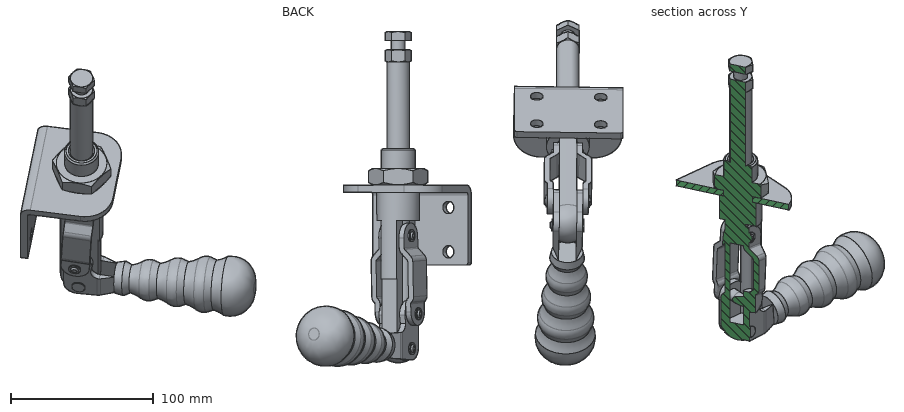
import cadquery as cq
import math

TURN = -28.7

SHEET = 5.2
BRACKET_WIDTH = 76.1
PLATE_FRONT = -37.4
FLANGE_BACK = 25.1
PLATE_BOTTOM = -56.2
BEND_RADIUS = 7.0
FLANGE_CORNER = 19.7
PLATE_CORNER = 1.9
SCREW_HOLE = 8.7
SCREW_SPACING_X = 45.0
SCREW_SPACING_Z = 31.0
SCREW_ROW_TOP = -15.7

NECK_RADIUS = 12.0
NECK_TOP = 25.5
NECK_CHAMFER = 1.2
BORE_MOUTH_RADIUS = 9.2
BARREL_RADIUS = 15.0
BALL_CENTRE = -109.8
FLATS_TOP = -25.0
FLATS_HALF = 6.0
BARREL_BACK = 12.7
BACK_RELIEF_TOP = -65.8

ROD_RADIUS = 8.0
ROD_BOTTOM = -43.5
BOLT_RADIUS = 5.0
LOCKNUT_BOTTOM = 86.3
LOCKNUT_TOP = 95.0
HEAD_BOTTOM = 101.3
HEAD_TOP = 107.6
BOLT_FLATS = 16.0
MOUNT_NUT_FLATS = 36.2
MOUNT_NUT_HEIGHT = 11.8
HEX_CHAMFER_ANGLE = 30.0

SLIDE_PIVOT = (-0.2, -35.5)
LINK_PIVOT = (-2.5, -90.2)
LEVER_PIVOT = (-0.5, -114.7)
RIVET_RADIUS = 4.2
HEAD_PROUD = 1.0
RIVET_TIP_RADIUS = 2.8
RIVET_TIP_HEIGHT = 1.2
RIVET_TIP_TAPER = 45.0
PIN_HEAD_RADIUS = 4.7

CHEEK = 4.2
CHEEK_OUTER = FLATS_HALF + CHEEK
LEVER_FRONT = -11.0
LEVER_BOTTOM = -122.7
LEVER_TOP = -81.0
LEVER_TOP_RADIUS = 10.0
LEVER_HEEL_RADIUS = 9.6
LEVER_NECK_HALF = 6.0
LEVER_NECK_TOP = -104.0
LEVER_NECK_BOTTOM = -121.3
TAPER_START = 13.9
NECK_BEND_RADIUS = 7.0
THROAT_START = (8.0, -97.0)
THROAT_MIDDLE = (9.9, -101.3)
THROAT_END = (14.0, -103.5)
LINK_THICKNESS = 4.0
LINK_WIDTH = 20.0
LINK_TOP = -26.5
LINK_BOTTOM = -98.5
LINK_MIDDLE_INNER = 12.7
LINK_BEND_ANGLE = 45.0
LINK_BEND_RADIUS = 1.2
UPPER_BEND = -51.0
LOWER_BEND = -80.1

GRIP_TILT = 4.7
GRIP_START = 25.4
GRIP_END = 123.9
GRIP_START_RADIUS = 11.0
FIRST_BEAD_Y = 31.3
FIRST_BEAD_RADIUS = 12.2
BEADS = 3
VALLEY_Y = 36.0
VALLEY_RADIUS = 9.9
BEAD_PITCH = 20.0
BEAD_GROWTH = 2.5
HOLLOW_STEP = (1.5, 4.2)
SHOULDER_STEP = (3.3, 7.8)
BULGE_STEP = (4.7, 11.5)
CREST_STEP = (4.5, 15.0)
KNOB_RADIUS = 21.2
KNOB_CORNER = 17.0


def turned(shape):
    return shape.rotate((0, 0, 0), (0, 0, 1), TURN)


def cylinder(radius, bottom, top):
    return cq.Workplane("XY").workplane(offset=bottom).circle(radius).extrude(top - bottom)


def hexagon(flats, bottom, top, chamfered):
    """Hexagonal prism with corners on the X axis; `chamfered` selects the trimmed ends."""
    corner_radius = flats / math.sqrt(3)
    end_radius = 0.49 * flats
    trim = corner_radius - end_radius
    envelope = cylinder(corner_radius, bottom, top).edges(chamfered)
    envelope = envelope.chamfer(trim * math.tan(math.radians(HEX_CHAMFER_ANGLE)), trim)
    prism = cq.Workplane("XY").workplane(offset=bottom).polygon(6, 2 * corner_radius).extrude(top - bottom)
    return prism.intersect(envelope)


def make_bracket():
    """Bent sheet with a screw plate and a flange that the barrel neck passes through."""
    profile = (
        cq.Workplane("YZ", origin=(-BRACKET_WIDTH / 2, 0, 0))
        .moveTo(PLATE_FRONT, PLATE_BOTTOM)
        .lineTo(PLATE_FRONT, 0)
        .lineTo(FLANGE_BACK, 0)
        .lineTo(FLANGE_BACK, -SHEET)
        .lineTo(PLATE_FRONT + SHEET, -SHEET)
        .lineTo(PLATE_FRONT + SHEET, PLATE_BOTTOM)
        .close()
        .extrude(BRACKET_WIDTH)
    )
    bracket = profile.edges("|X and <Y and >Z").fillet(BEND_RADIUS)
    inner_bend = cq.selectors.NearestToPointSelector((0, PLATE_FRONT + SHEET, -SHEET))
    bracket = bracket.edges(inner_bend).fillet(BEND_RADIUS - SHEET)
    bracket = bracket.edges("|Z and >Y").fillet(FLANGE_CORNER)
    bracket = bracket.edges("|Y and <Z").fillet(PLATE_CORNER)
    screw_holes = (
        cq.Workplane("XZ", origin=(0, PLATE_FRONT, SCREW_ROW_TOP - SCREW_SPACING_Z / 2))
        .rarray(SCREW_SPACING_X, SCREW_SPACING_Z, 2, 2)
        .circle(SCREW_HOLE / 2)
        .extrude(-SHEET)
    )
    return turned(bracket.cut(screw_holes).cut(cylinder(NECK_RADIUS, -SHEET, 0)))


def make_barrel():
    """Guide tube with a threaded neck, a ball end and two flats for the linkage."""
    neck = cylinder(NECK_RADIUS, -SHEET, NECK_TOP).faces(">Z").chamfer(NECK_CHAMFER)
    mouth_depth = BORE_MOUTH_RADIUS - ROD_RADIUS
    bore_mouth = cq.Solid.makeCone(ROD_RADIUS, BORE_MOUTH_RADIUS, mouth_depth)
    neck = neck.cut(bore_mouth.translate(cq.Vector(0, 0, NECK_TOP - mouth_depth)))
    ball = cq.Workplane("XY").sphere(BARREL_RADIUS).translate((0, 0, BALL_CENTRE))
    body = cylinder(BARREL_RADIUS, BALL_CENTRE, -SHEET).union(ball)
    flats_bottom = BALL_CENTRE - BARREL_RADIUS
    for side in (-1, 1):
        flat = cq.Workplane("XY").box(
            BARREL_RADIUS, 2 * BARREL_RADIUS, FLATS_TOP - flats_bottom, centered=(True, True, False)
        )
        body = body.cut(flat.translate((side * (FLATS_HALF + BARREL_RADIUS / 2), 0, flats_bottom)))
    back_relief = cq.Workplane("XY").box(
        2 * BARREL_RADIUS, BARREL_RADIUS, BACK_RELIEF_TOP - flats_bottom, centered=(True, False, False)
    )
    body = body.cut(back_relief.translate((0, BARREL_BACK, flats_bottom)))
    body = body.cut(cylinder(ROD_RADIUS, BALL_CENTRE, ROD_BOTTOM))
    return body.union(neck)


def make_lever():
    """Two cheeks beside the barrel that bend towards each other where they meet the end of the grip."""
    top_radius = LEVER_TOP_RADIUS
    top_y = LEVER_FRONT + top_radius
    top_z = LEVER_TOP - top_radius
    heel = LEVER_HEEL_RADIUS
    side_outline = (
        cq.Workplane("YZ", origin=(-CHEEK_OUTER, 0, 0))
        .moveTo(LEVER_FRONT, top_z)
        .threePointArc((top_y, top_z + top_radius), (top_y + top_radius, top_z))
        .lineTo(*THROAT_START)
        .threePointArc(THROAT_MIDDLE, THROAT_END)
        .lineTo(GRIP_START, LEVER_NECK_TOP)
        .lineTo(GRIP_START, LEVER_NECK_BOTTOM)
        .lineTo(LEVER_FRONT + heel, LEVER_BOTTOM)
        .radiusArc((LEVER_FRONT, LEVER_BOTTOM + heel), heel)
        .close()
        .extrude(2 * CHEEK_OUTER)
    )
    top_outline = (
        cq.Workplane("XY", origin=(0, 0, LEVER_BOTTOM))
        .polyline(
            [
                (-CHEEK_OUTER, LEVER_FRONT),
                (CHEEK_OUTER, LEVER_FRONT),
                (CHEEK_OUTER, TAPER_START),
                (LEVER_NECK_HALF, GRIP_START),
                (-LEVER_NECK_HALF, GRIP_START),
                (-CHEEK_OUTER, TAPER_START),
            ]
        )
        .close()
        .extrude(top_z + top_radius - LEVER_BOTTOM)
        .edges("|Z")
        .edges(">>Y[1]")
        .fillet(NECK_BEND_RADIUS)
    )
    gap = cq.Workplane("XY").box(2 * FLATS_HALF, 2 * GRIP_START, 2 * (LEVER_TOP - LEVER_BOTTOM))
    return side_outline.intersect(top_outline).cut(gap.translate((0, 0, LEVER_BOTTOM)))


def make_link():
    """Joggled strap on the +X side, leaning with the line between its two pivots."""
    upper, middle, lower = FLATS_HALF, LINK_MIDDLE_INNER, CHEEK_OUTER
    joggle_slope = math.tan(math.radians(LINK_BEND_ANGLE))
    bend_offset = LINK_THICKNESS * math.tan(math.radians(LINK_BEND_ANGLE / 2))
    outer_bends = [
        (upper + LINK_THICKNESS, UPPER_BEND + (middle - upper) / joggle_slope),
        (middle + LINK_THICKNESS, UPPER_BEND),
        (middle + LINK_THICKNESS, LOWER_BEND),
        (lower + LINK_THICKNESS, LOWER_BEND - (middle - lower) / joggle_slope),
    ]
    inner_bends = [
        (x - LINK_THICKNESS, z + shift)
        for (x, z), shift in zip(outer_bends, (-bend_offset, -bend_offset, bend_offset, bend_offset))
    ]
    outline = [
        (upper, LINK_TOP),
        *inner_bends,
        (lower, LINK_BOTTOM),
        (lower + LINK_THICKNESS, LINK_BOTTOM),
        *outer_bends[::-1],
        (upper + LINK_THICKNESS, LINK_TOP),
    ]
    strap = cq.Workplane("XZ", origin=(0, LINK_WIDTH / 2, 0)).polyline(outline).close().extrude(LINK_WIDTH)
    outside_radius = LINK_BEND_RADIUS + LINK_THICKNESS
    bend_radii = (LINK_BEND_RADIUS, outside_radius, outside_radius, LINK_BEND_RADIUS)
    for outer, inner, radius in zip(outer_bends, inner_bends, bend_radii):
        for (x, z), bend_radius in ((outer, radius), (inner, LINK_BEND_RADIUS + outside_radius - radius)):
            bend_edge = cq.selectors.NearestToPointSelector((x, 0, z))
            strap = strap.edges("|Y").edges(bend_edge).fillet(bend_radius)
    reach = middle + LINK_THICKNESS
    round_ends = (
        cq.Workplane("YZ", origin=(0, 0, (LINK_TOP + LINK_BOTTOM) / 2))
        .slot2D(LINK_TOP - LINK_BOTTOM, LINK_WIDTH, 90)
        .extrude(reach)
    )
    lean = math.degrees(math.atan2(SLIDE_PIVOT[0] - LINK_PIVOT[0], SLIDE_PIVOT[1] - LINK_PIVOT[1]))
    pivot = (0, *SLIDE_PIVOT)
    return strap.intersect(round_ends).rotate(pivot, (1, *SLIDE_PIVOT), -lean)


def make_head(pivot, face, radius):
    """Plain round head on the +X side, standing on the face at X = `face`."""
    return cq.Workplane("YZ", origin=(0, *pivot)).circle(radius).extrude(face + HEAD_PROUD)


def make_rivet(pivot, face):
    """Rivet head on the +X side with a conical tip."""
    head = make_head(pivot, face, RIVET_RADIUS)
    tip_outline = head.faces(">X").workplane().circle(RIVET_TIP_RADIUS)
    return tip_outline.extrude(RIVET_TIP_HEIGHT, taper=RIVET_TIP_TAPER)


def bead_point(bead, step=(0, 0)):
    """Outline point of a bead as (radius, Y), a step beyond the valley before that bead."""
    radius = VALLEY_RADIUS + bead * BEAD_GROWTH
    y = VALLEY_Y + bead * BEAD_PITCH
    return radius + step[0], y + step[1]


def make_grip():
    """Beaded handle that ends in a round knob, tilted up about the lever pivot."""
    outline = (
        cq.Workplane("XY")
        .moveTo(0, GRIP_START)
        .lineTo(GRIP_START_RADIUS, GRIP_START)
        .lineTo(FIRST_BEAD_RADIUS, FIRST_BEAD_Y)
        .lineTo(*bead_point(0))
    )
    for bead in range(BEADS):
        outline = outline.threePointArc(bead_point(bead, HOLLOW_STEP), bead_point(bead, SHOULDER_STEP))
        outline = outline.threePointArc(bead_point(bead, BULGE_STEP), bead_point(bead, CREST_STEP))
        outline = outline.lineTo(*bead_point(bead + 1))
    knob_start = bead_point(BEADS, SHOULDER_STEP)
    knob_y = GRIP_END - KNOB_CORNER
    diagonal = KNOB_CORNER * math.sqrt(0.5)
    flat_radius = KNOB_RADIUS - KNOB_CORNER
    grip = (
        outline.threePointArc(bead_point(BEADS, HOLLOW_STEP), knob_start)
        .threePointArc((flat_radius + diagonal, knob_y + diagonal), (flat_radius, GRIP_END))
        .lineTo(0, GRIP_END)
        .close()
        .revolve(360, (0, 0, 0), (0, 1, 0))
    )
    return grip.rotate((0, 0, 0), (1, 0, 0), GRIP_TILT).translate((0, *LEVER_PIVOT))


def make_clamp():
    """Barrel, plunger, linkage, grip and nuts as one solid."""
    clamp = make_barrel().union(make_lever()).union(make_grip())
    link = make_link()
    link = link.union(make_rivet(SLIDE_PIVOT, FLATS_HALF + LINK_THICKNESS))
    link = link.union(make_rivet(LINK_PIVOT, CHEEK_OUTER + LINK_THICKNESS))
    clamp = clamp.union(link).union(link.mirror("YZ"))
    clamp = clamp.union(make_head(LEVER_PIVOT, CHEEK_OUTER, PIN_HEAD_RADIUS))
    clamp = clamp.union(make_rivet(LEVER_PIVOT, CHEEK_OUTER).mirror("YZ"))
    clamp = turned(clamp)
    clamp = clamp.union(cylinder(ROD_RADIUS, ROD_BOTTOM, LOCKNUT_BOTTOM))
    clamp = clamp.union(hexagon(MOUNT_NUT_FLATS, 0, MOUNT_NUT_HEIGHT, "%CIRCLE"))
    clamp = clamp.union(hexagon(BOLT_FLATS, LOCKNUT_BOTTOM, LOCKNUT_TOP, "%CIRCLE"))
    clamp = clamp.union(cylinder(BOLT_RADIUS, LOCKNUT_TOP, HEAD_BOTTOM))
    return clamp.union(hexagon(BOLT_FLATS, HEAD_BOTTOM, HEAD_TOP, ">Z"))


bracket = make_bracket()
clamp = make_clamp()
result = cq.Compound.makeCompound([bracket.val(), *clamp.vals()])